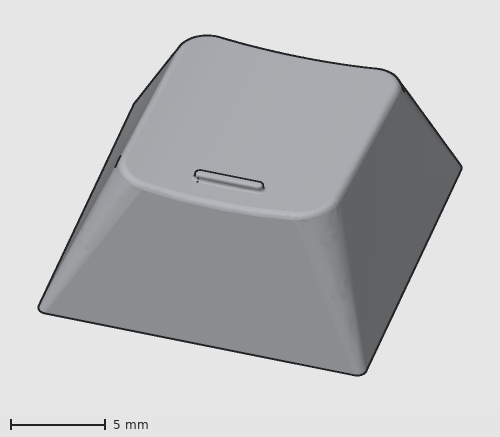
import cadquery as cq
import math

base_side = 18.1
base_corner_radius = 0.5

tilt_angle = 6.0
top_width = 11.91
top_front_y = -5.47
top_back_y = 8.89
top_corner_radius = 2.1
top_plane_height = 6.99

dish_radius = 35.84
dish_bottom_height = 6.4
dish_length = 36.2
rim_radius = 0.42

bar_length = 3.76
bar_width = 0.55
bar_y = -3.75
bar_top_height = 7.24
bar_embed_depth = 0.9
bar_foot_radius = 0.16
bar_edge_radius = 0.16


def tilted_plane(height):
    """Plane rising towards the front, at the given height on the Z axis."""
    angle = math.radians(tilt_angle)
    normal = (0, math.sin(angle), math.cos(angle))
    return cq.Plane(origin=(0, 0, height), xDir=(1, 0, 0), normal=normal)


def make_walls():
    """Square base blended into the smaller, tilted upper outline."""
    cosine = math.cos(math.radians(tilt_angle))
    top_depth = (top_back_y - top_front_y) / cosine
    top_center = (top_back_y + top_front_y) / 2 / cosine
    top_location = tilted_plane(top_plane_height).location * cq.Location(cq.Vector(0, top_center, 0))
    base = cq.Sketch().rect(base_side, base_side).vertices().fillet(base_corner_radius)
    top = cq.Sketch().rect(top_width, top_depth).vertices().fillet(top_corner_radius)
    return cq.Workplane("XY").placeSketch(base, top.moved(top_location)).loft(ruled=True)


def cut_dish(body):
    """Hollow the top with a shallow cylinder, then round its rim."""
    plane = tilted_plane(dish_bottom_height)
    axis = plane.yDir
    start = plane.origin + plane.zDir * dish_radius - axis * (dish_length / 2)
    cutter = cq.Solid.makeCylinder(dish_radius, dish_length, start, axis)
    return body.cut(cq.Workplane(cutter)).faces(">Z").edges().fillet(rim_radius)


def add_homing_bar(body):
    """Flat-topped bar with round ends and a filleted foot."""
    bar = (
        cq.Workplane("XY", origin=(0, bar_y, bar_top_height))
        .slot2D(bar_length, bar_width)
        .extrude(-bar_embed_depth)
    )
    bar = bar.faces(">Z").edges().fillet(bar_edge_radius)
    reach = bar_length / 2 + bar_foot_radius
    lowest_edge = bar_top_height - bar_embed_depth
    highest_edge = bar_top_height - 1.5 * bar_edge_radius
    near_bar = cq.selectors.BoxSelector(
        (-reach, bar_y - bar_width, lowest_edge),
        (reach, bar_y + bar_width, highest_edge),
    )
    return body.union(bar).edges(near_bar).fillet(bar_foot_radius)


result = add_homing_bar(cut_dish(make_walls()))